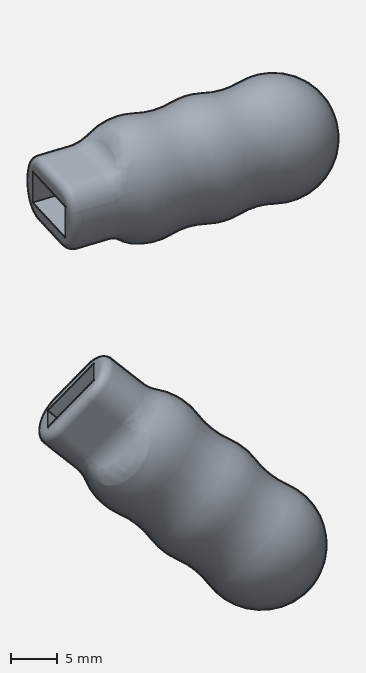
import cadquery as cq
import math

total_length = 34.0
ball_radius = 7.0
ball_spacing = 8.2
waist_radius = 10.0

neck_radius = 5.75
neck_height = 8.02
neck_root_radius = 4.0
neck_edge_radius = 1.0

flat_length = 4.85
flat_end_radius = 2.5
flat_rim_radius = 3.0

socket_width = 7.48
socket_height = 4.0

back_ball_y = total_length - ball_radius
middle_ball_y = back_ball_y - ball_spacing
front_ball_y = middle_ball_y - ball_spacing


def ball_point(ball_y, offset):
    """Point of a ball's outline at a signed distance along Y from its centre."""
    return (math.sqrt(ball_radius**2 - offset**2), ball_y + offset)


def make_body():
    """Revolve the wavy outline, from the neck face to the back of the last ball."""
    waist_share = ball_radius / (ball_radius + waist_radius)
    waist_touch = ball_spacing / 2 * waist_share
    waist_centre = math.sqrt((ball_radius + waist_radius) ** 2 - (ball_spacing / 2) ** 2)
    waist_bottom = waist_centre - waist_radius

    root_centre = neck_radius + neck_root_radius
    root_reach = math.sqrt((ball_radius + neck_root_radius) ** 2 - root_centre**2)
    root_y = front_ball_y - root_reach
    root_touch = root_reach * ball_radius / (ball_radius + neck_root_radius)
    root_angle = math.atan2(root_reach, root_centre) / 2
    root_middle = (
        root_centre - neck_root_radius * math.cos(root_angle),
        root_y + neck_root_radius * math.sin(root_angle),
    )

    outline = (
        cq.Workplane("XY")
        .lineTo(neck_radius, 0)
        .lineTo(neck_radius, root_y)
        .threePointArc(root_middle, ball_point(front_ball_y, -root_touch))
    )
    for ball_y in (front_ball_y, middle_ball_y):
        outline = outline.threePointArc(
            ball_point(ball_y, 0), ball_point(ball_y, waist_touch)
        ).threePointArc(
            (waist_bottom, ball_y + ball_spacing / 2),
            ball_point(ball_y + ball_spacing, -waist_touch),
        )
    outline = outline.threePointArc(ball_point(back_ball_y, 0), (0, total_length)).close()
    return outline.revolve(360, (0, 0, 0), (0, 1, 0))


def cut_flats(body):
    """Cut the upper and lower neck flats, each curving outwards at its inner end."""
    half_height = neck_height / 2
    curve_middle = (
        flat_length + flat_end_radius * math.sin(math.pi / 4),
        half_height + flat_end_radius * (1 - math.cos(math.pi / 4)),
    )
    curve_end = (flat_length + flat_end_radius, half_height + flat_end_radius)
    cutter = (
        cq.Workplane("YZ")
        .moveTo(0, half_height)
        .lineTo(flat_length, half_height)
        .threePointArc(curve_middle, curve_end)
        .lineTo(curve_end[0], 2 * ball_radius)
        .lineTo(0, 2 * ball_radius)
        .close()
        .extrude(2 * ball_radius, both=True)
    )
    return body.cut(cutter).cut(cutter.mirror("XY"))


def round_flat_rims(body):
    """Round the sides and inner end of each flat, leaving its edge on the neck face."""
    margin = 0.05
    across = cq.selectors.ParallelDirSelector(cq.Vector(1, 0, 0))
    for side in (1, -1):
        flat_zone = cq.selectors.BoxSelector(
            (-ball_radius, margin, side * (neck_height / 2 - margin)),
            (ball_radius, front_ball_y, side * ball_radius),
        )
        body = body.edges(flat_zone - across).fillet(flat_rim_radius)
    return body


def make_socket():
    """Flat-sided socket whose half-round end is centred in the front ball."""
    half_width = socket_width / 2
    return (
        cq.Workplane("XY")
        .moveTo(-half_width, 0)
        .lineTo(half_width, 0)
        .lineTo(half_width, front_ball_y)
        .threePointArc((0, front_ball_y + half_width), (-half_width, front_ball_y))
        .close()
        .extrude(socket_height / 2, both=True)
    )


body = round_flat_rims(cut_flats(make_body()))
rounded_body = body.faces("<Y").edges().fillet(neck_edge_radius)
result = rounded_body.cut(make_socket())